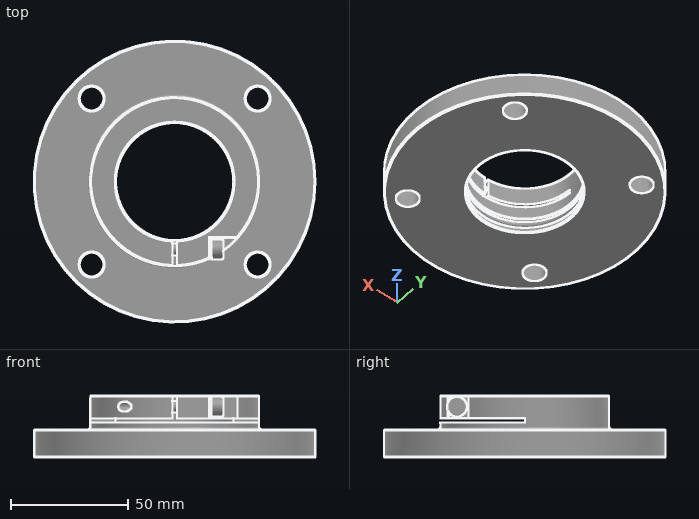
import cadquery as cq
import math

flange_diameter = 120.0
flange_thickness = 12.0
edge_chamfer = 0.4
bolt_circle_diameter = 100.0
bolt_hole_diameter = 10.2
bolt_hole_count = 4
first_bolt_angle = 45.0
bolt_hole_chamfer = 0.4

hub_diameter = 72.0
total_height = 26.5
root_fillet = 1.0
bore_diameter = 50.2

groove_diameter = 56.0
groove_width = 5.0
groove_bottom = 3.0
lip_chamfer = 0.2
seal_section_diameter = 3.0

slot_bottom = 15.0
slot_height = 1.75
split_width = 2.0

screw_y = -28.9
screw_z = 21.75
shank_diameter = 5.0
shank_length = 25.0
head_diameter = 8.5
head_length = 5.0
head_fillet = 0.8
head_seat_x = 15.8
tap_hole_diameter = 4.2

pocket_x = 15.0
pocket_y = -24.0

hub_radius = hub_diameter / 2
slot_top = slot_bottom + slot_height
screw_tip_x = head_seat_x - shank_length


def disc(diameter, bottom, height):
    """Upright cylinder on the Z axis."""
    return cq.Workplane("XY").workplane(offset=bottom).circle(diameter / 2).extrude(height)


def rod_along_x(diameter, x_start, x_end):
    """Cylinder on the clamp screw axis, between two X positions."""
    plane = cq.Workplane("YZ", origin=(x_start, screw_y, screw_z))
    return plane.circle(diameter / 2).extrude(x_end - x_start)


def block(x_min, x_max, y_min, y_max, z_min, z_max):
    """Box given by its limits."""
    size = (x_max - x_min, y_max - y_min, z_max - z_min)
    return cq.Workplane("XY").box(*size, centered=False).translate((x_min, y_min, z_min))


def make_flange():
    """Round flange with chamfered rims and chamfered bolt holes on a bolt circle."""
    flange = disc(flange_diameter, 0, flange_thickness).edges().chamfer(edge_chamfer)
    holes = (
        cq.Workplane("XY")
        .polarArray(bolt_circle_diameter / 2, first_bolt_angle, 360, bolt_hole_count)
        .circle(bolt_hole_diameter / 2)
        .extrude(flange_thickness)
    )
    countersink = cq.Solid.makeCone(
        bolt_hole_diameter / 2,
        bolt_hole_diameter / 2 + bolt_hole_chamfer,
        bolt_hole_chamfer,
        pnt=cq.Vector(0, 0, flange_thickness - bolt_hole_chamfer),
    )
    countersinks = (
        cq.Workplane("XY")
        .polarArray(bolt_circle_diameter / 2, first_bolt_angle, 360, bolt_hole_count)
        .eachpoint(lambda place: countersink.moved(place))
    )
    return flange.cut(holes).cut(countersinks)


def make_hub():
    """Hub with the screw head pocket; its top outline and the pocket mouth are chamfered."""
    hub = disc(hub_diameter, 0, total_height)
    hub = hub.cut(block(pocket_x, hub_radius, -hub_radius, pocket_y, slot_bottom, total_height))

    mouth_y = -math.sqrt(hub_radius**2 - pocket_x**2)
    mouth_edge = cq.selectors.NearestToPointSelector((pocket_x, mouth_y, (slot_bottom + total_height) / 2))
    return hub.faces(">Z").edges().add(hub.edges(mouth_edge)).chamfer(edge_chamfer)


def make_root():
    """Concave fillet ring between the hub and the flange."""
    root_radius = hub_radius + root_fillet
    root_top = flange_thickness + root_fillet
    bend = root_fillet * (1 - math.sqrt(0.5))
    profile = (
        cq.Workplane("XZ")
        .moveTo(0, 0)
        .lineTo(root_radius, 0)
        .lineTo(root_radius, flange_thickness)
        .threePointArc((hub_radius + bend, flange_thickness + bend), (hub_radius, root_top))
        .lineTo(0, root_top)
        .close()
    )
    return profile.revolve(360, (0, 0, 0), (0, 1, 0))


def make_bore():
    """Bore with flared ends, together with the seal groove and its chamfered lips."""
    bore_radius = bore_diameter / 2
    groove_radius = groove_diameter / 2
    rim_radius = bore_radius + edge_chamfer
    lip_radius = bore_radius + lip_chamfer
    groove_top = groove_bottom + groove_width
    profile = (
        cq.Workplane("XZ")
        .moveTo(0, 0)
        .lineTo(rim_radius, 0)
        .lineTo(bore_radius, edge_chamfer)
        .lineTo(bore_radius, groove_bottom - lip_chamfer)
        .lineTo(lip_radius, groove_bottom)
        .lineTo(groove_radius, groove_bottom)
        .lineTo(groove_radius, groove_top)
        .lineTo(lip_radius, groove_top)
        .lineTo(bore_radius, groove_top + lip_chamfer)
        .lineTo(bore_radius, total_height - edge_chamfer)
        .lineTo(rim_radius, total_height)
        .lineTo(0, total_height)
        .close()
    )
    return profile.revolve(360, (0, 0, 0), (0, 1, 0))


def make_housing():
    """Flange and hub in one piece, with the bore, seal groove and clamp cuts."""
    housing = make_flange().union(make_root()).union(make_hub()).cut(make_bore())

    slot = block(-hub_radius, hub_radius, -hub_radius, 0, slot_bottom, slot_top)
    split = block(-split_width / 2, split_width / 2, -hub_radius, 0, slot_bottom, total_height)
    housing = housing.cut(slot).cut(split)

    tap_hole = rod_along_x(tap_hole_diameter, -hub_radius, screw_tip_x)
    shank_hole = rod_along_x(shank_diameter, screw_tip_x, pocket_x)
    return housing.cut(tap_hole).cut(shank_hole)


def make_clamp_screw():
    """Cylinder-head screw that draws the two clamping arms together."""
    head = rod_along_x(head_diameter, head_seat_x, head_seat_x + head_length)
    head = head.faces(">X").edges().fillet(head_fillet)
    return head.union(rod_along_x(shank_diameter, screw_tip_x, head_seat_x))


def make_seal_ring():
    """O-ring lying against the groove wall, half way up the groove."""
    section_radius = seal_section_diameter / 2
    ring_radius = groove_diameter / 2 - section_radius
    ring_z = groove_bottom + groove_width / 2
    section = cq.Workplane("XZ").center(ring_radius, ring_z).circle(section_radius)
    return section.revolve(360, (-ring_radius, 0, 0), (-ring_radius, 1, 0))


housing = make_housing()
clamp_screw = make_clamp_screw()
seal_ring = make_seal_ring()

result = cq.Compound.makeCompound([housing.val(), clamp_screw.val(), seal_ring.val()])